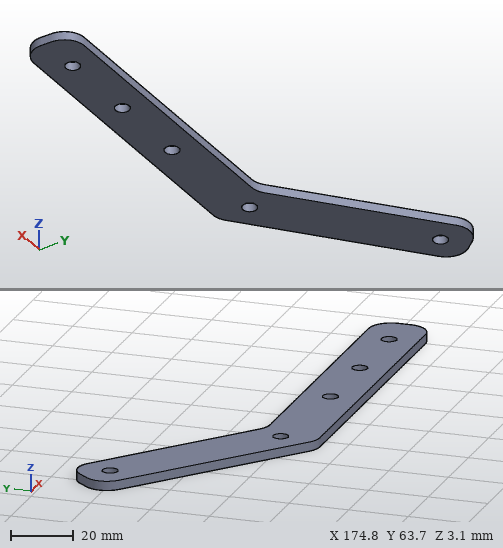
import cadquery as cq
import math

thickness = 3.1
width = 19.0
bend_angle = 40.0
overall_length = 174.8
arm_length = 81.3
corner_radius = 7.5
hole_diameter = 5.0
straight_hole_count = 3
straight_hole_pitch = 29.2
straight_hole_end_distance = 15.5
bend_hole = (0.2, 12.2)
arm_hole_pitch = 63.6

angle = math.radians(bend_angle)
along = (-math.cos(angle), math.sin(angle))
normal = (math.sin(angle), math.cos(angle))

arm_reach = -arm_length * along[0] + corner_radius * (along[0] - normal[0] + 1)
straight_length = overall_length - arm_reach

outer_bend = (0, 0)
inner_bend = (width * math.tan(angle / 2), width)
end_lower = (straight_length, 0)
end_upper = (straight_length, width)
arm_lower = (arm_length * along[0], arm_length * along[1])
arm_upper = (arm_lower[0] + width * normal[0], arm_lower[1] + width * normal[1])

plate = (
    cq.Workplane("XY")
    .polyline([outer_bend, end_lower, end_upper, inner_bend, arm_upper, arm_lower])
    .close()
    .extrude(thickness)
    .edges("|Z")
    .fillet(corner_radius)
)

last_hole_x = straight_length - straight_hole_end_distance
holes = [
    (last_hole_x - i * straight_hole_pitch, width / 2)
    for i in range(straight_hole_count)
]
holes.append(bend_hole)
holes.append((bend_hole[0] + arm_hole_pitch * along[0], bend_hole[1] + arm_hole_pitch * along[1]))

hole_cutters = cq.Workplane("XY").pushPoints(holes).circle(hole_diameter / 2).extrude(thickness)
result = plate.cut(hole_cutters)